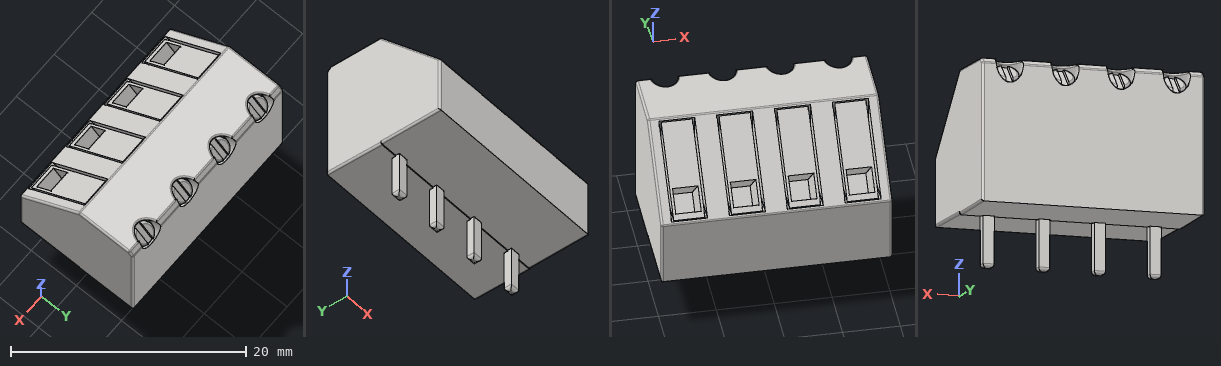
import cadquery as cq
import math

pole_count = 4
pitch = 5.0
housing_length = pole_count * pitch
housing_depth = 12.5
housing_height = 12.5
slope_run = 6.5
back_chamfer = 0.45
edge_radius = 0.2

foot_drop = 0.1
foot_front = 6.5
foot_overlap = 3.0

pin_width = 1.0
pin_thickness = 0.8
pin_y = 6.5
pin_length = 4.6
pin_tip_radius = 0.35
pin_embed = 2.0

window_width = 3.1
window_leg = 6.15
plug_side_gap = 0.2
plug_recess = 0.1
wire_size = 2.2
wire_offset = 2.6
wire_depth = 4.0

screw_axis_drop = 0.3
screw_hole_diameter = 2.46
screw_hole_depth = 1.6
screw_hole_rim_radius = 0.15
screw_diameter = 2.16
screw_head_depth = 1.05
screw_edge_radius = 0.2
slot_width = 0.65
slot_depth = 0.3

pole_positions = [pitch * (index + 0.5) for index in range(pole_count)]


def extrude_profile(points):
    """Extrude a closed (Y, Z) outline over the full housing length."""
    return cq.Workplane("YZ").polyline(points).close().extrude(housing_length)


def slope_plane(x):
    """Plane at the middle of the slope, local Y up the slope and local Z outward."""
    origin = (x, slope_run / 2, housing_height - slope_run / 2)
    return cq.Plane(origin=origin, xDir=(1, 0, 0), normal=(0, -1, 1))


def screw_plane(x):
    """Plane where the screw axis crosses the back wall, local Z outward along the axis."""
    origin = (x, housing_depth, housing_height - screw_axis_drop)
    return cq.Plane(origin=origin, xDir=(1, 0, 0), normal=(0, 1, 1))


def make_housing():
    block = extrude_profile([
        (0, 0),
        (housing_depth, 0),
        (housing_depth, housing_height - back_chamfer),
        (housing_depth - back_chamfer, housing_height),
        (slope_run, housing_height),
        (0, housing_height - slope_run),
    ])
    block = block.edges("|X").edges("not <Z").fillet(edge_radius)
    return block.faces("<X or >X").edges().fillet(edge_radius)


def make_foot():
    foot = extrude_profile([
        (foot_front, -foot_drop),
        (housing_depth, 0),
        (housing_depth, foot_overlap),
        (foot_front, foot_overlap),
    ])
    return foot.faces(">Y or <Z").edges("<X or >X").fillet(edge_radius)


def make_pin(x):
    pin = (
        cq.Workplane("XY", origin=(x, pin_y, -pin_length))
        .rect(pin_width, pin_thickness)
        .extrude(pin_length + pin_embed)
    )
    return pin.faces("<Z").edges().fillet(pin_tip_radius)


def make_wedge(x, width, leg):
    """Triangular prism in the inner corner of a window, its long face parallel to the slope."""
    inner_y = slope_run / 2 + window_leg / 2
    inner_z = housing_height - slope_run / 2 - window_leg / 2
    return (
        cq.Workplane("YZ", origin=(x - width / 2, 0, 0))
        .moveTo(inner_y, inner_z)
        .lineTo(inner_y, inner_z + leg)
        .lineTo(inner_y - leg, inner_z)
        .close()
        .extrude(width)
    )


def make_window(x):
    """Wedge shaped window on the slope, less the plug that nearly fills it."""
    opening = make_wedge(x, window_width, window_leg)
    plug = make_wedge(x, window_width - 2 * plug_side_gap, window_leg - plug_recess * math.sqrt(2))
    return opening.cut(plug)


def make_wire_entry(x):
    return (
        cq.Workplane(slope_plane(x))
        .center(0, -wire_offset)
        .rect(wire_size, wire_size)
        .extrude(-wire_depth)
    )


def make_screw_hole(x):
    return (
        cq.Workplane(screw_plane(x))
        .workplane(offset=-screw_hole_depth)
        .circle(screw_hole_diameter / 2)
        .extrude(2 * screw_hole_depth)
    )


def make_screw(x):
    head_bottom = cq.Workplane(screw_plane(x)).workplane(offset=-screw_hole_depth)
    head = head_bottom.circle(screw_diameter / 2).extrude(screw_hole_depth - screw_head_depth)
    slot = (
        cq.Workplane(screw_plane(x))
        .workplane(offset=-screw_head_depth)
        .rect(slot_width, 2 * screw_diameter)
        .extrude(-slot_depth)
    )
    outer_face = cq.selectors.DirectionMinMaxSelector(screw_plane(x).zDir)
    head = head.faces(outer_face).edges().fillet(screw_edge_radius)
    return head.cut(slot)


def make_screw_hole_rim(x):
    """Rounding of the hole edge on the top face, ending where the back chamfer starts."""
    rim_zone = 2 * screw_hole_diameter
    slab = (
        cq.Workplane("XY", origin=(x, housing_depth, housing_height))
        .rect(2 * rim_zone, 2 * rim_zone)
        .extrude(-2 * screw_hole_rim_radius)
    )
    bore = (
        cq.Workplane(screw_plane(x))
        .circle(screw_hole_diameter / 2)
        .extrude(2 * rim_zone, both=True)
    )
    rounded_slab = slab.cut(bore).faces(">Z").edges("%ELLIPSE").fillet(screw_hole_rim_radius)
    flare = slab.cut(rounded_slab)
    limit = (
        cq.Workplane("XY", origin=(x, housing_depth - back_chamfer, housing_height))
        .rect(2 * rim_zone, 2 * rim_zone)
        .extrude(-rim_zone)
        .translate((0, -rim_zone, 0))
    )
    return flare.intersect(limit)


result = make_housing().union(make_foot())
for x in pole_positions:
    result = result.cut(make_screw_hole(x)).cut(make_screw_hole_rim(x))
    result = result.cut(make_window(x)).cut(make_wire_entry(x))
    result = result.union(make_screw(x)).union(make_pin(x))